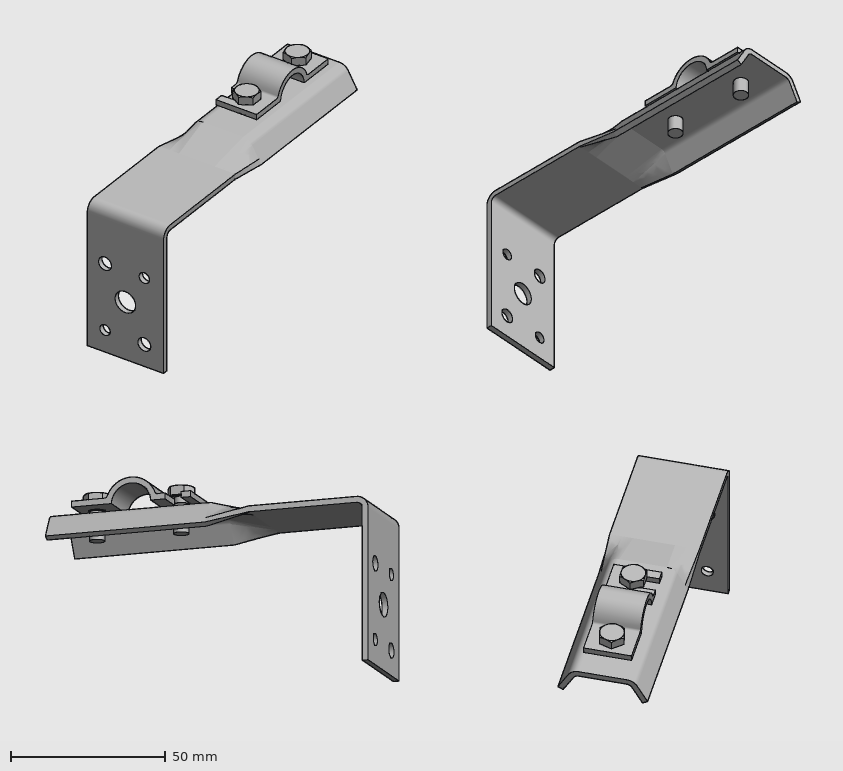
import cadquery as cq
import math

LENGTH = 111.0
WIDTH = 30.0
SHEET = 2.0

LEG_HEIGHT = 55.0
BEND_INNER_RADIUS = SHEET
BEND_OUTER_RADIUS = BEND_INNER_RADIUS + SHEET
CHANNEL_LENGTH = 55.0
FLARE_LENGTH = 15.0
CHANNEL_RISE = 4.0
CHANNEL_FLAT_WIDTH = 16.0
CHANNEL_WALL_ANGLE = 60.0
CHANNEL_OUTER_RADIUS = 4.0

CHANNEL_START = LENGTH - CHANNEL_LENGTH
STRIP_END = CHANNEL_START - FLARE_LENGTH
STRIP_BOTTOM = LEG_HEIGHT - SHEET
CHANNEL_TOP = LEG_HEIGHT + CHANNEL_RISE

FLARE_FLAT_INSET = 8.0
FLARE_WALL_INSET = 4.3
FLARE_TIP_INSET = 0.5

SMALL_HOLE = 4.0
MEDIUM_HOLE = 5.0
LARGE_HOLE = 8.0
HOLE_LEFT = -8.0
HOLE_RIGHT = 7.4
HOLE_LOW = 8.4
HOLE_HIGH = 33.9
HOLE_MIDDLE = 22.0
LEG_HOLES = [
    (HOLE_LEFT, HOLE_HIGH, MEDIUM_HOLE),
    (HOLE_RIGHT, HOLE_HIGH, SMALL_HOLE),
    (0, HOLE_MIDDLE, LARGE_HOLE),
    (HOLE_LEFT, HOLE_LOW, SMALL_HOLE),
    (HOLE_RIGHT, HOLE_LOW, MEDIUM_HOLE),
]

CLAMP_LENGTH = 41.0
CLAMP_WIDTH = CHANNEL_FLAT_WIDTH
CLAMP_GAP = 2.7
CLAMP_HEIGHT = 8.3
CLAMP_INNER_RADIUS = 6.8
CLAMP_FILLET = 1.0
CLAMP_HOLE = 5.5
CLAMP_CENTRE_TO_END = 27.0

CLAMP_CENTRE = LENGTH - CLAMP_CENTRE_TO_END
CLAMP_BOTTOM = CHANNEL_TOP + CLAMP_GAP
CLAMP_TOP = CLAMP_BOTTOM + SHEET
ARCH_OUTER_RADIUS = CLAMP_INNER_RADIUS + SHEET
ARCH_CENTRE_Z = CLAMP_BOTTOM + CLAMP_HEIGHT - ARCH_OUTER_RADIUS

BOLT_SPACING = 29.0
BOLT_THREAD = 5.0
BOLT_NECK = 4.5
BOLT_NECK_LENGTH = 2.1
BOLT_LENGTH = 12.0
HEAD_SIDES = 6
HEAD_ACROSS_FLATS = 8.0
HEAD_HEIGHT = 3.3
HEAD_CHAMFER_ANGLE = 30.0
WASHER_FACE = 6.7
WASHER_FACE_HEIGHT = 0.2

FRONT_BOLT_Y = CLAMP_CENTRE - BOLT_SPACING / 2
REAR_BOLT_Y = CLAMP_CENTRE + BOLT_SPACING / 2
BOLTS = [(FRONT_BOLT_Y, 0.0), (REAR_BOLT_Y, 11.0)]


def channel_half_section():
    """Right half of the channel section as (X, Z) points, from the outer top to the inner top.

    Returns the outer flat end, bend middle, bend end, flare edge, outer tip, inner tip,
    and the inner bend end, bend middle and flat end.
    """
    angle = math.radians(CHANNEL_WALL_ANGLE)
    bend_x = CHANNEL_FLAT_WIDTH / 2
    bend_z = CHANNEL_TOP - CHANNEL_OUTER_RADIUS

    def on_bend(radius, turn):
        return (bend_x + radius * math.sin(turn), bend_z + radius * math.cos(turn))

    def shifted(point, along, inward):
        """Move down along the wall and in through its thickness."""
        dx = along * math.cos(angle) - inward * math.sin(angle)
        dz = -along * math.sin(angle) - inward * math.cos(angle)
        return (point[0] + dx, point[1] + dz)

    inner_radius = CHANNEL_OUTER_RADIUS - SHEET
    outer_bend_end = on_bend(CHANNEL_OUTER_RADIUS, angle)
    wall_length = (WIDTH / 2 - outer_bend_end[0]) / math.cos(angle)
    return [
        on_bend(CHANNEL_OUTER_RADIUS, 0),
        on_bend(CHANNEL_OUTER_RADIUS, angle / 2),
        outer_bend_end,
        shifted(outer_bend_end, wall_length - SHEET, 0),
        shifted(outer_bend_end, wall_length, 0),
        shifted(outer_bend_end, wall_length, SHEET),
        on_bend(inner_radius, angle),
        on_bend(inner_radius, angle / 2),
        on_bend(inner_radius, 0),
    ]


def strip_half_section():
    """Right half of the flat strip section, point for point with the channel half section."""
    side = WIDTH / 2
    flat = side - FLARE_FLAT_INSET
    wall = side - FLARE_WALL_INSET
    middle = (flat + wall) / 2
    tip = side - FLARE_TIP_INSET
    return [
        (flat, LEG_HEIGHT),
        (middle, LEG_HEIGHT),
        (wall, LEG_HEIGHT),
        (side, LEG_HEIGHT),
        (side, STRIP_BOTTOM),
        (tip, STRIP_BOTTOM),
        (wall, STRIP_BOTTOM),
        (middle, STRIP_BOTTOM),
        (flat, STRIP_BOTTOM),
    ]


def section_wire(half, y, bends_are_arcs):
    """Closed symmetric wire at the given Y, from the points of its right half."""
    right = [cq.Vector(x, y, z) for x, z in half]
    left = [cq.Vector(-x, y, z) for x, z in reversed(half)]

    def bend(start, middle, end):
        if bends_are_arcs:
            return cq.Edge.makeThreePointArc(start, middle, end)
        return cq.Edge.makeLine(start, end)

    def side_edges(points):
        """A bend through the first three points, straight wall edges, a bend through the last three."""
        wall_points = points[2:-2]
        walls = [cq.Edge.makeLine(a, b) for a, b in zip(wall_points, wall_points[1:])]
        return [bend(*points[:3]), *walls, bend(*points[-3:])]

    edges = side_edges(right)
    edges.append(cq.Edge.makeLine(right[-1], left[0]))
    edges.extend(side_edges(left))
    edges.append(cq.Edge.makeLine(left[-1], right[0]))
    return cq.Wire.assembleEdges(edges)


def make_bent_strip():
    """Mounting leg and horizontal strip, joined by a round bend."""
    return (
        cq.Workplane("YZ")
        .moveTo(0, 0)
        .lineTo(0, LEG_HEIGHT - BEND_OUTER_RADIUS)
        .radiusArc((BEND_OUTER_RADIUS, LEG_HEIGHT), BEND_OUTER_RADIUS)
        .lineTo(STRIP_END, LEG_HEIGHT)
        .lineTo(STRIP_END, STRIP_BOTTOM)
        .lineTo(BEND_OUTER_RADIUS, STRIP_BOTTOM)
        .radiusArc((SHEET, LEG_HEIGHT - BEND_OUTER_RADIUS), -BEND_INNER_RADIUS)
        .lineTo(SHEET, 0)
        .close()
        .extrude(WIDTH / 2, both=True)
    )


def make_bracket():
    strip_wire = section_wire(strip_half_section(), STRIP_END, False)
    channel_wire = section_wire(channel_half_section(), CHANNEL_START, True)
    flare = cq.Solid.makeLoft([strip_wire, channel_wire], True)
    channel = cq.Solid.extrudeLinear(channel_wire, [], cq.Vector(0, CHANNEL_LENGTH, 0))
    bracket = make_bent_strip().union(cq.Workplane(flare)).union(cq.Workplane(channel))

    for x, z, diameter in LEG_HOLES:
        hole = cq.Solid.makeCylinder(diameter / 2, SHEET, cq.Vector(x, 0, z), cq.Vector(0, 1, 0))
        bracket = bracket.cut(cq.Workplane(hole))
    for y, _ in BOLTS:
        hole = cq.Solid.makeCylinder(BOLT_THREAD / 2, SHEET, cq.Vector(0, y, CHANNEL_TOP - SHEET))
        bracket = bracket.cut(cq.Workplane(hole))
    return bracket


def make_clamp():
    """Saddle of sheet: an arch between two flat ears, one with a hole and one with an open slot."""
    outer_foot = math.sqrt(ARCH_OUTER_RADIUS**2 - (CLAMP_TOP - ARCH_CENTRE_Z) ** 2)
    inner_foot = math.sqrt(CLAMP_INNER_RADIUS**2 - (CLAMP_BOTTOM - ARCH_CENTRE_Z) ** 2)
    ear_end = CLAMP_LENGTH / 2
    clamp = (
        cq.Workplane("YZ", origin=(0, CLAMP_CENTRE, 0))
        .moveTo(-ear_end, CLAMP_BOTTOM)
        .lineTo(-ear_end, CLAMP_TOP)
        .lineTo(-outer_foot, CLAMP_TOP)
        .threePointArc((0, ARCH_CENTRE_Z + ARCH_OUTER_RADIUS), (outer_foot, CLAMP_TOP))
        .lineTo(ear_end, CLAMP_TOP)
        .lineTo(ear_end, CLAMP_BOTTOM)
        .lineTo(inner_foot, CLAMP_BOTTOM)
        .threePointArc((0, ARCH_CENTRE_Z + CLAMP_INNER_RADIUS), (-inner_foot, CLAMP_BOTTOM))
        .close()
        .extrude(CLAMP_WIDTH / 2, both=True)
    )
    for foot_y in (CLAMP_CENTRE - outer_foot, CLAMP_CENTRE + outer_foot):
        foot_edge = cq.selectors.NearestToPointSelector((0, foot_y, CLAMP_TOP))
        clamp = clamp.edges("|X").edges(foot_edge).fillet(CLAMP_FILLET)

    ear_plane = cq.Workplane("XY", origin=(0, 0, CLAMP_BOTTOM))
    holes = ear_plane.pushPoints([(0, y) for y, _ in BOLTS]).circle(CLAMP_HOLE / 2).extrude(SHEET)
    slot_mouth = (
        ear_plane.center(-CLAMP_WIDTH / 4, FRONT_BOLT_Y)
        .rect(CLAMP_WIDTH / 2, CLAMP_HOLE)
        .extrude(SHEET)
    )
    return clamp.cut(holes).cut(slot_mouth)


def make_bolt(y, rotation):
    """Hexagon bolt with its washer face on the clamp ear, a thin neck and a thicker thread."""
    flat_radius = HEAD_ACROSS_FLATS / 2
    corner_radius = flat_radius / math.cos(math.pi / HEAD_SIDES)
    chamfer_drop = (corner_radius - flat_radius) * math.tan(math.radians(HEAD_CHAMFER_ANGLE))
    step = (BOLT_THREAD - BOLT_NECK) / 2
    envelope = (
        cq.Workplane("XZ")
        .moveTo(0, -BOLT_LENGTH)
        .lineTo(BOLT_THREAD / 2, -BOLT_LENGTH)
        .lineTo(BOLT_THREAD / 2, -BOLT_NECK_LENGTH - step)
        .lineTo(BOLT_NECK / 2, -BOLT_NECK_LENGTH)
        .lineTo(BOLT_NECK / 2, 0)
        .lineTo(WASHER_FACE / 2, 0)
        .lineTo(WASHER_FACE / 2, WASHER_FACE_HEIGHT)
        .lineTo(corner_radius, WASHER_FACE_HEIGHT)
        .lineTo(corner_radius, HEAD_HEIGHT - chamfer_drop)
        .lineTo(flat_radius, HEAD_HEIGHT)
        .lineTo(0, HEAD_HEIGHT)
        .close()
        .revolve()
    )
    hexagon = (
        cq.Workplane("XY", origin=(0, 0, -BOLT_LENGTH))
        .polygon(HEAD_SIDES, 2 * corner_radius)
        .extrude(BOLT_LENGTH + HEAD_HEIGHT)
        .rotate((0, 0, 0), (0, 0, 1), 90)
    )
    bolt = envelope.intersect(hexagon)
    return bolt.rotate((0, 0, 0), (0, 0, 1), rotation).translate((0, y, CLAMP_TOP))


bracket = make_bracket()
clamp = make_clamp()
bolts = [make_bolt(y, rotation) for y, rotation in BOLTS]

result = cq.Compound.makeCompound([bracket.val(), clamp.val(), *[bolt.val() for bolt in bolts]])